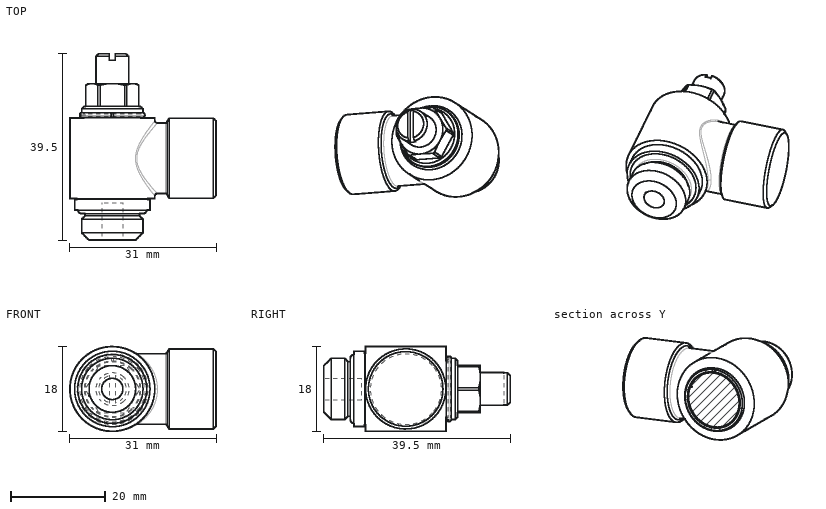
import cadquery as cq
import math

TOTAL_LENGTH = 39.5

TIP_DIAMETER = 9.88
CONNECTOR_DIAMETER = 13.05
CONNECTOR_CHAMFER_END = 1.6
CONNECTOR_SHOULDER = 4.45
NECK_DIAMETER = 11.6
NECK_START = 5.15
PASSAGE_DIAMETER = 4.5
PASSAGE_DEPTH = 7.9

SEAL_DIAMETER = 14.6
SEAL_START = 5.6
SEAL_ROUND = 0.83
COLLAR_DIAMETER = 16.0
COLLAR_START = 6.35
COLLAR_END = 8.65
COLLAR_GAP_DIAMETER = 15.0

BODY_DIAMETER = 18.0
BODY_START = 8.8
BODY_END = 25.9

RING_GROOVE_DIAMETER = 11.95
RING_DIAMETER = 13.85
RING_SECTION_DIAMETER = 1.03
RING_SPLIT = 0.5
FLANGE_DIAMETER = 13.05
FLANGE_START = 27.02
FLANGE_CHAMFER_START = 27.8
FLANGE_END = 28.35

HEX_ACROSS_FLATS = 10.0
HEX_CORNER_DIAMETER = 11.25
HEX_END = 33.2
HEX_CHAMFER_DIAMETER = 10.0
HEX_CHAMFER_HEIGHT = 0.35
SCREW_DIAMETER = 7.0
SCREW_CHAMFER = 0.6
SLOT_WIDTH = 1.22
SLOT_DEPTH = 1.4

BRANCH_POSITION = (BODY_START + BODY_END) / 2
BRANCH_END = 31.0 - BODY_DIAMETER / 2
BRANCH_NECK_DIAMETER = 15.0
BRANCH_NECK_END = 11.25
BRANCH_NECK_ROUND = 0.4
SOCKET_DIAMETER = 17.0
SOCKET_START = 12.05
SOCKET_CHAMFER = 0.6
JUNCTION_FILLET = 0.5


def cylinder_y(diameter, start, end):
    """Solid cylinder on the Y axis."""
    return cq.Workplane("XZ", origin=(0, start, 0)).circle(diameter / 2).extrude(start - end)


def revolve_y(profile):
    """Turn a profile of (radius, position) points around the Y axis."""
    return cq.Workplane("XY").polyline(profile).close().revolve(360, (0, 0), (0, 1))


def make_branch():
    neck_radius = BRANCH_NECK_DIAMETER / 2
    socket_radius = SOCKET_DIAMETER / 2
    round_end = (BRANCH_NECK_END + BRANCH_NECK_ROUND, neck_radius + BRANCH_NECK_ROUND)
    half_chord = BRANCH_NECK_ROUND * math.sqrt(0.5)
    round_middle = (
        BRANCH_NECK_END + half_chord,
        neck_radius + BRANCH_NECK_ROUND - half_chord,
    )
    return (
        cq.Workplane("XY", origin=(0, BRANCH_POSITION, 0))
        .lineTo(0, neck_radius)
        .lineTo(BRANCH_NECK_END, neck_radius)
        .threePointArc(round_middle, round_end)
        .lineTo(SOCKET_START, socket_radius)
        .lineTo(BRANCH_END - SOCKET_CHAMFER, socket_radius)
        .lineTo(BRANCH_END, socket_radius - SOCKET_CHAMFER)
        .lineTo(BRANCH_END, 0)
        .close()
        .revolve(360, (0, 0), (1, 0))
    )


def make_body():
    """Main cylinder with the branch, filleted along their curved intersection."""
    body = cylinder_y(BODY_DIAMETER, BODY_START, BODY_END).union(make_branch())
    body_radius = BODY_DIAMETER / 2
    junction = cq.selectors.BoxSelector(
        (0, BODY_START, -body_radius),
        (body_radius + 0.4, BODY_END, body_radius),
        boundingbox=False,
    )
    return body.edges("not %CIRCLE").edges("not %LINE").edges(junction).fillet(JUNCTION_FILLET)


def make_connector():
    connector_radius = CONNECTOR_DIAMETER / 2
    neck_radius = NECK_DIAMETER / 2
    thread = revolve_y([
        (0, 0),
        (TIP_DIAMETER / 2, 0),
        (connector_radius, CONNECTOR_CHAMFER_END),
        (connector_radius, CONNECTOR_SHOULDER),
        (neck_radius, NECK_START),
        (neck_radius, BODY_START),
        (0, BODY_START),
    ])
    seal = cylinder_y(SEAL_DIAMETER, SEAL_START, COLLAR_END).edges("<Y").fillet(SEAL_ROUND)
    collar = cylinder_y(COLLAR_DIAMETER, COLLAR_START, COLLAR_END)
    gap = cylinder_y(COLLAR_GAP_DIAMETER, COLLAR_END, BODY_START)
    return thread.union(seal).union(collar).union(gap)


def make_retaining_ring():
    """Round-section ring with a narrow split facing +Z."""
    section_radius = RING_SECTION_DIAMETER / 2
    centre_radius = RING_DIAMETER / 2 - section_radius
    centre_position = FLANGE_START - section_radius
    ring = (
        cq.Workplane("XY")
        .center(centre_radius, centre_position)
        .circle(section_radius)
        .revolve(360, (-centre_radius, 0), (-centre_radius, 1))
    )
    split = cq.Workplane("XY").box(RING_SPLIT, RING_SECTION_DIAMETER, RING_DIAMETER, (True, True, False))
    return ring.cut(split.translate((0, centre_position, 0)))


def make_flange():
    flange_radius = FLANGE_DIAMETER / 2
    groove_radius = RING_GROOVE_DIAMETER / 2
    return revolve_y([
        (0, BODY_END),
        (groove_radius, BODY_END),
        (groove_radius, FLANGE_START),
        (flange_radius, FLANGE_START),
        (flange_radius, FLANGE_CHAMFER_START),
        (flange_radius - (FLANGE_END - FLANGE_CHAMFER_START), FLANGE_END),
        (0, FLANGE_END),
    ])


def make_hexagon():
    """Hexagon with flats facing +Z and -Z, turned corners and a bevelled end."""
    corner_radius = HEX_CORNER_DIAMETER / 2
    hexagon = (
        cq.Workplane("XZ", origin=(0, FLANGE_END, 0))
        .polygon(6, HEX_ACROSS_FLATS / math.cos(math.pi / 6))
        .extrude(FLANGE_END - HEX_END)
    )
    envelope = revolve_y([
        (0, FLANGE_END),
        (corner_radius, FLANGE_END),
        (corner_radius, HEX_END - HEX_CHAMFER_HEIGHT),
        (HEX_CHAMFER_DIAMETER / 2, HEX_END),
        (0, HEX_END),
    ])
    return hexagon.intersect(envelope)


def make_screw():
    """Adjusting screw with a screwdriver slot running along Z."""
    screw = cylinder_y(SCREW_DIAMETER, HEX_END, TOTAL_LENGTH).edges(">Y").chamfer(SCREW_CHAMFER)
    slot = cq.Workplane("XY").box(SLOT_WIDTH, SLOT_DEPTH, SCREW_DIAMETER)
    return screw.cut(slot.translate((0, TOTAL_LENGTH - SLOT_DEPTH / 2, 0)))


result = (
    make_body()
    .union(make_connector())
    .union(make_flange())
    .union(make_retaining_ring())
    .union(make_hexagon())
    .union(make_screw())
    .cut(cylinder_y(PASSAGE_DIAMETER, 0, PASSAGE_DEPTH))
)